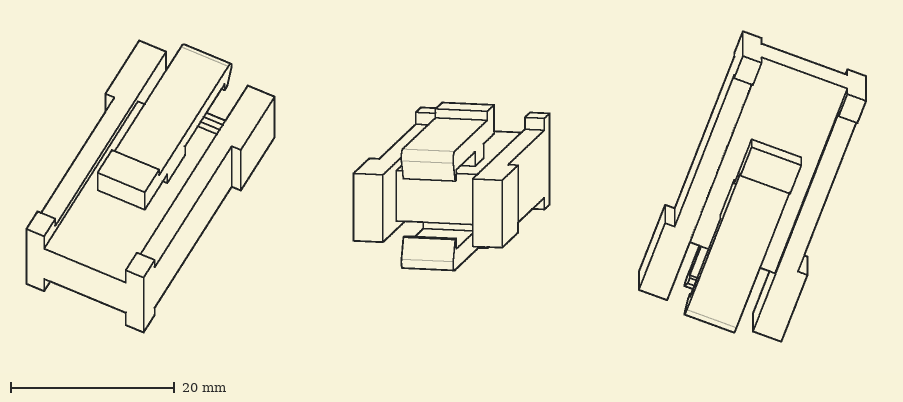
import cadquery as cq
import math

total_length = 32.92
rail_length = 32.6
body_width = 16.1
channel_width = 11.2
rail_height = 8.43
web_length = 25.02
web_height = 6.3
end_block_length = 3.0
end_block_height = 11.4

grip_width = 18.6
grip_start = 23.55

lever_width = 6.5
lever_start = 9.68
lever_bottom = 4.95
lever_top = 7.45
head_end = 13.53
head_top = 8.55
pivot_start = 15.67
pivot_end = 20.45
hook_inner = 31.0
hook_tip_z = 3.65
hook_angle = 24.0
nose_radius = 0.92

rail_width = (body_width - channel_width) / 2
grip_side_width = (grip_width - channel_width) / 2


def block(width, y_start, y_end, height, x_center=0):
    """Box centred on Z = 0 that spans the given Y range."""
    length = y_end - y_start
    return cq.Workplane("XY").box(width, length, height).translate((x_center, y_start + length / 2, 0))


def side_rail(side):
    """Rail with its raised end block and outer grip; side is -1 or 1."""
    rail_x = side * (channel_width + rail_width) / 2
    grip_x = side * (channel_width + grip_side_width) / 2
    rail = block(rail_width, 0, rail_length, rail_height, rail_x)
    end_block = block(rail_width, 0, end_block_length, end_block_height, rail_x)
    grip = block(grip_side_width, grip_start, rail_length, rail_height, grip_x)
    return rail.union(end_block).union(grip)


def upper_lever():
    """Latch lever with a raised press head, a pivot post and a rounded hook."""
    slope = math.radians(hook_angle)
    nose_y = total_length - nose_radius
    nose_z = lever_top - nose_radius
    arc_end_y = nose_y + nose_radius * math.cos(slope)
    arc_end_z = nose_z - nose_radius * math.sin(slope)
    hook_tip_y = arc_end_y - (arc_end_z - hook_tip_z) * math.tan(slope)
    web_top = web_height / 2
    return (
        cq.Workplane("YZ")
        .moveTo(lever_start, lever_bottom)
        .lineTo(lever_start, head_top)
        .lineTo(head_end, head_top)
        .lineTo(head_end, lever_top)
        .lineTo(nose_y, lever_top)
        .threePointArc((total_length, nose_z), (arc_end_y, arc_end_z))
        .lineTo(hook_tip_y, hook_tip_z)
        .lineTo(hook_inner, hook_tip_z)
        .lineTo(hook_inner, lever_bottom)
        .lineTo(pivot_end, lever_bottom)
        .lineTo(pivot_end, web_top)
        .lineTo(pivot_start, web_top)
        .lineTo(pivot_start, lever_bottom)
        .close()
        .extrude(lever_width / 2, both=True)
    )


result = block(channel_width, 0, web_length, web_height)
for rail_side in (-1, 1):
    result = result.union(side_rail(rail_side))

lever = upper_lever()
result = result.union(lever).union(lever.mirror("XY"))